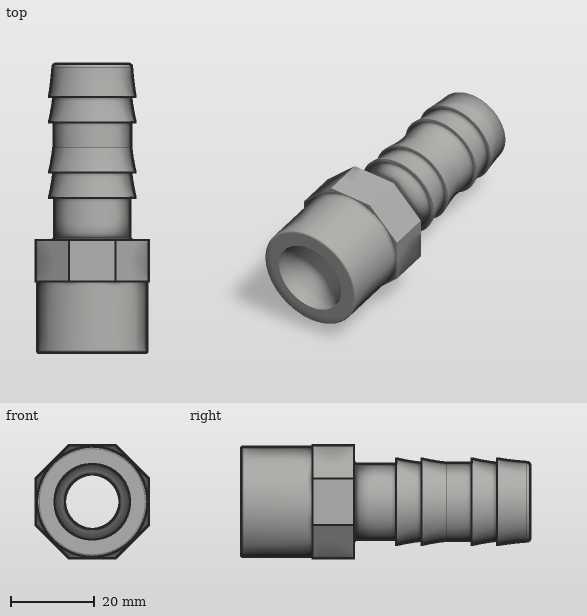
import cadquery as cq
import math

overall_length = 69.0
edge_radius = 0.5

sleeve_diameter = 26.3
sleeve_length = 17.0

nut_sides = 8
across_flats = 27.0
nut_length = 10.0

neck_diameter = 18.2
stem_root_diameter = 18.6
barb_diameter = 20.7
barb_length = 6.0
barb_sag = 0.105
tip_barb_length = 8.0
tip_diameter = 18.9
tip_edge_radius = 1.0

socket_diameter = 18.0
socket_depth = sleeve_length
bore_diameter = 13.0

mouth_y = -overall_length / 2
tip_y = overall_length / 2
nut_start_y = mouth_y + sleeve_length
nut_end_y = nut_start_y + nut_length
socket_floor_y = mouth_y + socket_depth
tip_barb_y = tip_y - tip_barb_length
second_barb_y = tip_barb_y - barb_length
third_barb_y = second_barb_y - 2 * barb_length
fourth_barb_y = third_barb_y - barb_length


def cylinder(diameter, start_y, end_y):
    """Round bar about the Y axis between two stations."""
    plane = cq.Workplane("XZ", origin=(0, start_y, 0))
    return plane.circle(diameter / 2).extrude(start_y - end_y)


def make_barb(start_y, length, end_diameter):
    """Barb with its sharp shoulder at start_y and a hollow flank narrowing toward the tip."""
    shoulder_radius = barb_diameter / 2
    end_radius = end_diameter / 2
    middle_radius = (shoulder_radius + end_radius) / 2 - barb_sag
    end_y = start_y + length
    profile = (
        cq.Workplane("XY")
        .moveTo(0, start_y)
        .lineTo(shoulder_radius, start_y)
        .threePointArc((middle_radius, start_y + length / 2), (end_radius, end_y))
        .lineTo(0, end_y)
        .close()
    )
    return profile.revolve(360, (0, 0, 0), (0, 1, 0))


def make_sleeve():
    return cylinder(sleeve_diameter, mouth_y, nut_start_y).faces("<Y").edges().fillet(edge_radius)


def make_nut():
    """Octagon with flats square to X and Z."""
    corner_diameter = across_flats / math.cos(math.pi / nut_sides)
    plane = cq.Workplane("XZ", origin=(0, nut_start_y, 0))
    turned_plane = plane.transformed(rotate=(0, 0, 180 / nut_sides))
    return turned_plane.polygon(nut_sides, corner_diameter).extrude(-nut_length)


def make_neck():
    """Plain neck with a concave fillet where it meets the nut."""
    neck_radius = neck_diameter / 2
    foot_radius = neck_radius + edge_radius
    fillet_end_y = nut_end_y + edge_radius
    profile = (
        cq.Workplane("XY")
        .moveTo(0, nut_end_y)
        .lineTo(foot_radius, nut_end_y)
        .radiusArc((neck_radius, fillet_end_y), edge_radius)
        .lineTo(neck_radius, fourth_barb_y)
        .lineTo(0, fourth_barb_y)
        .close()
    )
    return profile.revolve(360, (0, 0, 0), (0, 1, 0))


def make_barbed_stem():
    tip_barb = make_barb(tip_barb_y, tip_barb_length, tip_diameter)
    stem = tip_barb.faces(">Y").edges().fillet(tip_edge_radius)
    for barb_y in (second_barb_y, third_barb_y, fourth_barb_y):
        stem = stem.union(make_barb(barb_y, barb_length, stem_root_diameter))
    plain_stretch = cylinder(stem_root_diameter, third_barb_y + barb_length, second_barb_y)
    return stem.union(plain_stretch)


def make_passage():
    """Socket with a rounded floor corner, leading over a rounded step into the bore."""
    socket_radius = socket_diameter / 2
    bore_radius = bore_diameter / 2
    profile = (
        cq.Workplane("XY")
        .moveTo(0, mouth_y)
        .lineTo(socket_radius, mouth_y)
        .lineTo(socket_radius, socket_floor_y - edge_radius)
        .radiusArc((socket_radius - edge_radius, socket_floor_y), -edge_radius)
        .lineTo(bore_radius + edge_radius, socket_floor_y)
        .radiusArc((bore_radius, socket_floor_y + edge_radius), edge_radius)
        .lineTo(bore_radius, tip_y)
        .lineTo(0, tip_y)
        .close()
    )
    return profile.revolve(360, (0, 0, 0), (0, 1, 0))


body = make_sleeve().union(make_nut()).union(make_neck()).union(make_barbed_stem())
result = body.cut(make_passage())